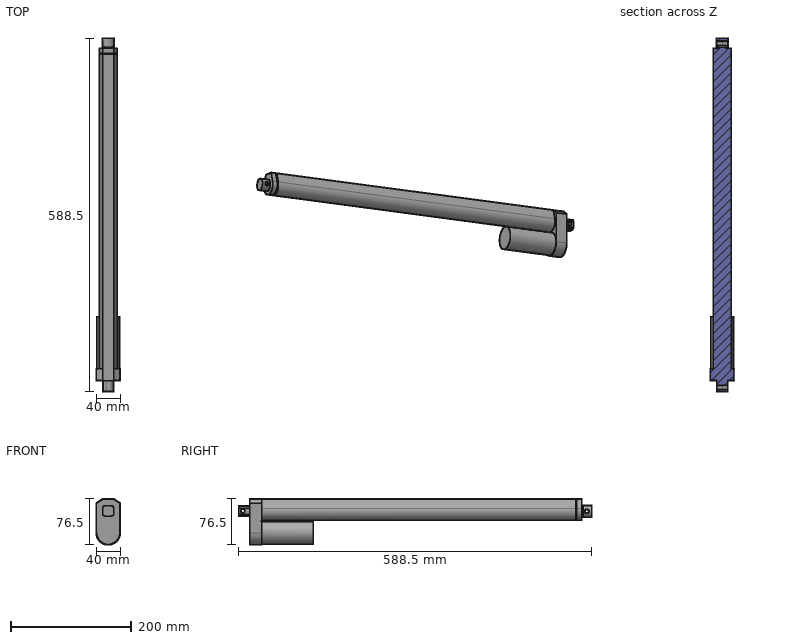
import cadquery as cq
import math


total_length = 588.5
lug_length = 18.0
housing_length = 20.0
housing_front = lug_length + housing_length
motor_length = 86.5
eye_length = 15.0
rod_gap = 2.0
cap_front = total_length - eye_length - rod_gap

top_height = 20.5
top_flat_width = 19.0
tube_diameter = 30.5

housing_width = 40.0
housing_height = 76.5
housing_shoulder_drop = 7.0

cap_groove_depth = 0.5
cap_groove_start = 561.0
cap_groove_width = 2.0

lug_half_section = [
    (4.4, 9.5),
    (8.0, 8.0),
    (9.5, 5.5),
    (9.5, -5.5),
    (7.5, -7.0),
    (4.4, -8.0),
]

motor_diameter = 38.0
rod_diameter = 13.0
eye_diameter = 20.0
pin_diameter = 6.5
lug_pin_y = 7.0
lug_pin_z = 0.5
eye_pin_y = 580.0
set_hole_diameter = 3.2
set_hole_spacing = 5.5

motor_z = top_height - housing_height + housing_width / 2


def section_plane(y):
    """Sketch plane across the actuator at y, with local x = X and local y = Z."""
    return cq.Workplane("XZ", origin=(0, y, 0))


def extrude_along_y(sketch, length):
    return sketch.extrude(-length)


def cylinder_along_y(diameter, z, start, end):
    return extrude_along_y(section_plane(start).center(0, z).circle(diameter / 2), end - start)


def tube_body(start, end, inset=0.0):
    """Length of tube section, with its outline moved inwards by inset."""
    radius = tube_diameter / 2 - inset
    half_flat = top_flat_width / 2 - inset
    top = top_height - inset
    corner_angle = math.atan2(top, half_flat)
    touch_angle = corner_angle - math.acos(radius / math.hypot(half_flat, top))
    touch_x = radius * math.cos(touch_angle)
    touch_z = radius * math.sin(touch_angle)
    outline = (
        section_plane(start)
        .moveTo(-half_flat, top)
        .lineTo(half_flat, top)
        .lineTo(touch_x, touch_z)
        .threePointArc((0, -radius), (-touch_x, touch_z))
        .close()
    )
    return extrude_along_y(outline, end - start)


def gear_housing():
    """Housing with a flat top, sloped shoulders and a semicircular bottom around the motor axis."""
    half_width = housing_width / 2
    half_flat = top_flat_width / 2
    shoulder = top_height - housing_shoulder_drop
    outline = (
        section_plane(lug_length)
        .moveTo(-half_flat, top_height)
        .lineTo(half_flat, top_height)
        .lineTo(half_width, shoulder)
        .lineTo(half_width, motor_z)
        .threePointArc((0, motor_z - half_width), (-half_width, motor_z))
        .lineTo(-half_width, shoulder)
        .close()
    )
    return extrude_along_y(outline, housing_length)


def cross_hole(diameter, y, z):
    """Cutter for a hole along X through the full width."""
    return cq.Workplane("YZ").center(y, z).circle(diameter / 2).extrude(housing_width, both=True)


def tube_with_cap():
    groove_end = cap_groove_start + cap_groove_width
    tube = tube_body(housing_front, cap_groove_start)
    neck = tube_body(cap_groove_start, groove_end, cap_groove_depth)
    cap = tube_body(groove_end, cap_front)
    return tube.union(neck).union(cap)


def rear_lug():
    left_half = [(-x, z) for x, z in reversed(lug_half_section)]
    outline = section_plane(0).polyline(lug_half_section + left_half).close()
    bar = extrude_along_y(outline, lug_length)
    return bar.cut(cross_hole(pin_diameter, lug_pin_y, lug_pin_z))


def rod_eye():
    eye_start = total_length - eye_length
    rod = cylinder_along_y(rod_diameter, 0, cap_front, eye_start)
    eye = cylinder_along_y(eye_diameter, 0, eye_start, total_length)
    eye = eye.cut(cross_hole(pin_diameter, eye_pin_y, 0))
    eye = eye.cut(cross_hole(set_hole_diameter, eye_pin_y - set_hole_spacing, 0))
    return rod.union(eye)


motor = cylinder_along_y(motor_diameter, motor_z, housing_front, housing_front + motor_length)

result = gear_housing().union(tube_with_cap()).union(motor).union(rear_lug()).union(rod_eye())